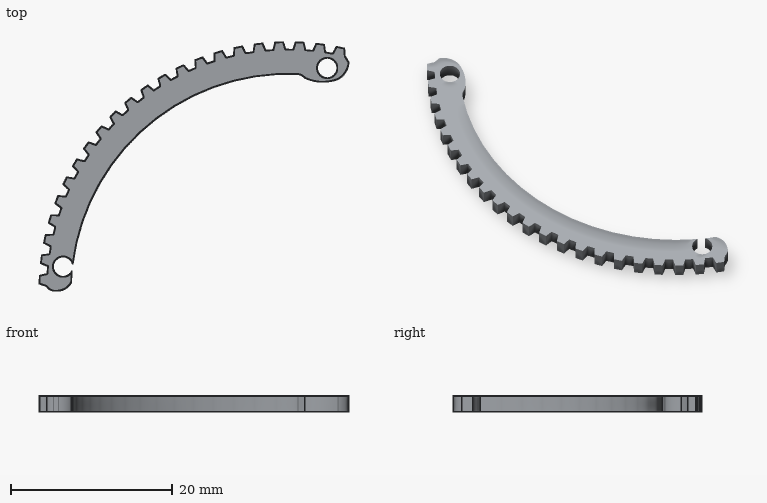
import cadquery as cq
import math

overall_length = 38.32
thickness = 2.0
inner_radius = 26.9
root_radius = 29.93
tip_radius = 30.85

full_gear_teeth = 76
tooth_count = 22
tooth_pitch = 360 / full_gear_teeth
first_tooth_angle = 77.9
last_tooth_angle = first_tooth_angle + (tooth_count - 1) * tooth_pitch
tip_half_angle = 0.92
root_half_angle = 1.45

hole_diameter = 2.5
hole_circle_radius = 28.05
upper_hole_angle = 80.1
lower_hole_angle = 173.8

lower_outer_corner = (-29.55, 0.23)
lower_flat_start = (-29.1, 0.05)
lower_flat_end = (-28.5, 0.05)
lower_inner_corner = (-27.35, 0.5)
lower_inner_angle = 177.7

upper_inner_angle = 87.5
lobe_fillet = (1.7, 26.7)
lobe_start = (2.07, 26.4)
lobe_bottom = (4.3, 25.9)
lobe_corner = (6.15, 26.25)
lobe_side = (7.1, 27.13)
lobe_nose_height = 28.3


def polar(radius, angle):
    """Point at a radius and an angle in degrees about the ring axis."""
    turn = math.radians(angle)
    return (radius * math.cos(turn), radius * math.sin(turn))


def tooth_points(angle):
    """Corners of one trapezoidal tooth, counter-clockwise around the ring."""
    return [
        polar(root_radius, angle - root_half_angle),
        polar(tip_radius, angle - tip_half_angle),
        polar(tip_radius, angle + tip_half_angle),
        polar(root_radius, angle + root_half_angle),
    ]


def outline():
    toothed_edge = []
    for index in range(tooth_count):
        toothed_edge += tooth_points(first_tooth_angle + index * tooth_pitch)

    lowest_tip_x = polar(tip_radius, last_tooth_angle + tip_half_angle)[0]
    lobe_nose = (lowest_tip_x + overall_length, lobe_nose_height)
    inner_middle_angle = (lower_inner_angle + upper_inner_angle) / 2
    return (
        cq.Workplane("XY")
        .polyline(toothed_edge)
        .threePointArc(lower_outer_corner, lower_flat_start)
        .lineTo(*lower_flat_end)
        .threePointArc(lower_inner_corner, polar(inner_radius, lower_inner_angle))
        .threePointArc(
            polar(inner_radius, inner_middle_angle),
            polar(inner_radius, upper_inner_angle),
        )
        .threePointArc(lobe_fillet, lobe_start)
        .threePointArc(lobe_bottom, lobe_corner)
        .threePointArc(lobe_side, lobe_nose)
        .close()
    )


def pin_holes():
    centers = [
        polar(hole_circle_radius, upper_hole_angle),
        polar(hole_circle_radius, lower_hole_angle),
    ]
    return cq.Workplane("XY").pushPoints(centers).circle(hole_diameter / 2).extrude(thickness)


result = outline().extrude(thickness).cut(pin_holes())